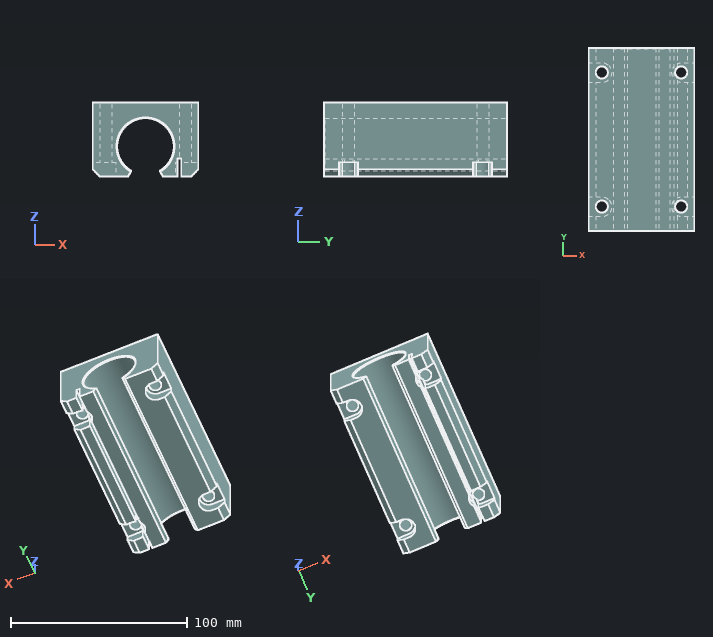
import cadquery as cq
import math

width = 60.0
length = 104.0
height = 42.0
corner_run = 4.0
corner_rise = 4.2

bore_diameter = 32.0
bore_center_z = 17.1
bore_chamfer = 0.5
mouth_half_angle = 30.0

slit_width = 2.0
slit_height = 10.1
slit_x = 19.2

hole_diameter = 6.8
hole_spacing_x = 45.0
hole_spacing_y = 76.1
recess_width = 11.0
recess_height = 8.0


def make_block():
    """Rectangular block with both long bottom edges bevelled."""
    side = width / 2
    foot = side - corner_run
    return (
        cq.Workplane("XZ")
        .polyline([
            (-foot, 0),
            (foot, 0),
            (side, corner_rise),
            (side, height),
            (-side, height),
            (-side, corner_rise),
        ])
        .close()
        .extrude(length / 2, both=True)
    )


def make_bore():
    """Through bore, with a conical chamfer at each end."""
    radius = bore_diameter / 2
    half_length = length / 2
    return (
        cq.Workplane("XY")
        .polyline([
            (0, -half_length),
            (radius + bore_chamfer, -half_length),
            (radius, -half_length + bore_chamfer),
            (radius, half_length - bore_chamfer),
            (radius + bore_chamfer, half_length),
            (0, half_length),
        ])
        .close()
        .revolve(360, (0, 0, 0), (0, 1, 0))
        .translate((0, 0, bore_center_z))
    )


def make_mouth():
    """Wedge from the bore axis, widening down to the underside."""
    half_width = bore_center_z * math.tan(math.radians(mouth_half_angle))
    return (
        cq.Workplane("XZ")
        .polyline([(-half_width, 0), (half_width, 0), (0, bore_center_z)])
        .close()
        .extrude(length / 2, both=True)
    )


def make_slit():
    """Narrow full-length slit rising from the underside."""
    return (
        cq.Workplane("XY")
        .box(slit_width, length, slit_height, centered=(True, True, False))
        .translate((slit_x, 0, 0))
    )


def make_mounting_hole(side, y):
    """Vertical hole and round-ended recess; side is -1 or +1 along X."""
    x = side * hole_spacing_x / 2
    run_out = width / 2 - abs(x)
    base = cq.Workplane("XY").center(x, y)
    hole = base.circle(hole_diameter / 2).extrude(height)
    round_end = base.circle(recess_width / 2).extrude(recess_height)
    side_opening = (
        base.center(side * run_out / 2, 0)
        .rect(run_out, recess_width)
        .extrude(recess_height)
    )
    return hole.union(round_end).union(side_opening)


result = make_block().cut(make_bore()).cut(make_mouth()).cut(make_slit())
for side in (-1, 1):
    for y in (-hole_spacing_y / 2, hole_spacing_y / 2):
        result = result.cut(make_mounting_hole(side, y))